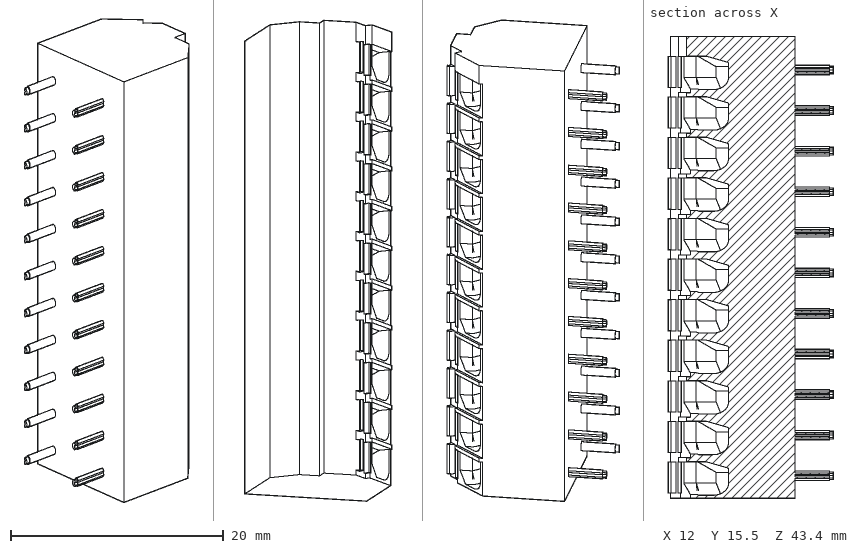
import cadquery as cq
import math


length = 43.4
width = 12.0
height = 11.7
poles = 11
end_plate = 1.48
pitch = (length - end_plate) / poles
shoulder_y = 8.15
step_x = 7.75
step_y = 10.37
notch_peak_x = 2.78
notch_depth_x = 0.5

rib = 0.4
cell_top = pitch - rib
recess_drop = 0.35

entry_x = 2.65
entry_corner_y = 9.3
entry_low_y = 8.07
entry_bottom = 0.3
entry_straight = 1.45
entry_taper = 30
entry_round = 1.05
entry_depth = 3.47
ceiling_start = 1.05
ceiling_fall = 22

lever_bottom = 0.48
lever_tip_y = 11.95
lever_nose = (3.9, 11.68)
lever_foot_x = 4.1
lever_left = 3.95
lever_right = 4.25
ridge_nose = (2.8, 10.72)
ridge_rise = 0.25
ridge_width = 0.6

pin_length = 3.6
pin_root = 0.85
pin_x = 2.25
pin_row_gap = 6.7
pin_z = 2.13
pin_half_height = 0.455
pin_half_width = 0.25
pin_back = 0.1
pin_lip_z = 0.2
pin_valley = 0.17
pin_tip = 0.35
pin_tip_inset = 0.1

notch_peak_y = shoulder_y + notch_peak_x
notch_x = notch_peak_x + notch_depth_x
notch_y = notch_peak_y - notch_depth_x
ramp_end_x = notch_x + height - notch_y
recess_y = shoulder_y - recess_drop
lip_x = entry_low_y - recess_y
rim_y = recess_y + entry_x
entry_opening = (rim_y - entry_low_y) * math.sqrt(2)


def prism(points, bottom, top):
    """Upright prism on an XY outline."""
    return cq.Workplane("XY", origin=(0, 0, bottom)).polyline(points).close().extrude(top - bottom)


def make_housing(bottom, top):
    """Slice of the plain housing."""
    right_shoulder_x = width - (step_y - shoulder_y)
    outline = [
        (0, 0), (width, 0), (width, shoulder_y), (right_shoulder_x, step_y),
        (step_x, step_y), (step_x, height), (ramp_end_x, height),
        (notch_x, notch_y), (notch_peak_x, notch_peak_y), (0, shoulder_y),
    ]
    return prism(outline, bottom, top)


def make_recess():
    """Band that lowers the wire-side chamfer, up to the notch."""
    lowered_peak_x = notch_peak_x + recess_drop / 2
    outline = [
        (0, recess_y), (lowered_peak_x, recess_y + lowered_peak_x),
        (notch_peak_x, notch_peak_y), (0, shoulder_y),
    ]
    return prism(outline, 0, cell_top)


def make_lever():
    """Lever tip standing on the upper slope of the notch."""
    outline = [
        lever_nose, (lever_foot_x, notch_y + lever_foot_x - notch_x),
        (ramp_end_x, notch_y), (ramp_end_x, height),
        (lever_right, height), (lever_right, lever_tip_y), (lever_left, lever_tip_y),
    ]
    return prism(outline, lever_bottom, cell_top)


def make_ridge():
    """Square-edged ridge along the wire side of the notch."""
    nose_x, nose_y = ridge_nose
    crest_x = nose_x + ridge_rise
    crest_y = nose_y + ridge_rise
    outline = [
        ridge_nose, (crest_x, crest_y), (crest_x + ridge_width, crest_y - ridge_width),
        (nose_x + ridge_width, nose_y - ridge_width),
    ]
    return prism(outline, lever_bottom, cell_top)


def make_bore():
    """Round-bottomed bore square to the recessed slope; local X climbs the slope, local Y is Z."""
    slope_plane = cq.Plane(origin=(lip_x, entry_low_y, 0), xDir=(1, 1, 0), normal=(1, -1, 0))
    return (
        cq.Workplane(slope_plane)
        .moveTo(0, cell_top)
        .lineTo(0, entry_bottom + entry_round)
        .radiusArc((entry_round, entry_bottom), -entry_round)
        .lineTo(entry_opening - entry_round, entry_bottom)
        .radiusArc((entry_opening, entry_bottom + entry_round), -entry_round)
        .lineTo(entry_opening, cell_top)
        .close()
        .extrude(entry_depth)
    )


def make_funnel():
    """Space in front of the inner walls: upright at the top, closing in towards the opening below."""
    clear_x = -width
    clear_y = rim_y + width
    walls = [
        (entry_x, clear_y), (entry_x, entry_corner_y),
        (entry_x + entry_corner_y, 0), (clear_x, 0), (clear_x, clear_y),
    ]
    tapered = (
        cq.Workplane("XY", origin=(0, 0, entry_straight))
        .polyline(walls)
        .close()
        .extrude(-entry_straight, taper=entry_taper)
    )
    return prism(walls, entry_straight, cell_top).union(tapered)


def make_ceiling_wedge():
    """Material left above the bore, so that its ceiling falls towards the deep end."""
    side_plane = cq.Plane(origin=(lip_x, entry_low_y, 0), xDir=(1, -1, 0), normal=(-1, -1, 0))
    fall = (entry_depth - ceiling_start) * math.tan(math.radians(ceiling_fall))
    outline = [(ceiling_start, cell_top), (entry_depth, cell_top), (entry_depth, cell_top - fall)]
    return cq.Workplane(side_plane).polyline(outline).close().extrude(-entry_opening)


def make_entry():
    """Wire entry pocket."""
    return make_bore().intersect(make_funnel()).cut(make_ceiling_wedge())


def pin_section(root_y, depth, inset):
    """Stretch of C-shaped pin running towards -Y from root_y, thinned by inset."""
    tall = pin_half_height - inset
    lip_x = inset - pin_half_width
    return (
        cq.Workplane("XZ", origin=(0, root_y, 0))
        .moveTo(-pin_back, tall)
        .threePointArc((pin_half_width - inset, 0), (-pin_back, -tall))
        .lineTo(lip_x, -pin_lip_z)
        .lineTo(inset - pin_valley, 0)
        .lineTo(lip_x, pin_lip_z)
        .close()
        .extrude(depth)
    )


def make_pin():
    """Pin at X = 0, Z = 0 with its open side facing -X."""
    tip_y = pin_tip - pin_length
    shank = pin_section(pin_root, pin_root - tip_y, 0)
    return shank.union(pin_section(tip_y, pin_tip, pin_tip_inset))


def make_cell():
    """One pole: housing slice with its recess, wire entry, lever, ridge and two pins."""
    left_pin = make_pin()
    right_pin = left_pin.mirror("YZ")
    cell = make_housing(0, pitch).cut(make_recess()).cut(make_entry())
    cell = cell.union(make_lever()).union(make_ridge())
    cell = cell.union(left_pin.translate((pin_x, 0, pin_z)))
    return cell.union(right_pin.translate((pin_x + pin_row_gap, 0, pin_z)))


cell = make_cell()
result = make_housing(poles * pitch, length)
for pole in range(poles):
    result = result.union(cell.translate((0, 0, pole * pitch)))